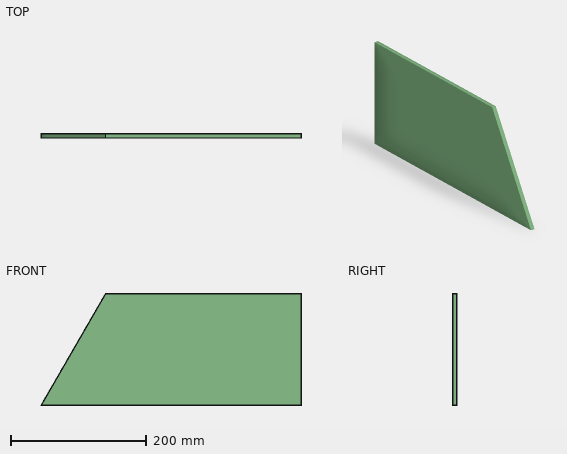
import cadquery as cq
import math

length = 384.5
thickness = 6.5
height = 165.0
slant_angle = 60.0

slant_run = height / math.tan(math.radians(slant_angle))

outline = [
    (0, 0),
    (length, 0),
    (length, height),
    (slant_run, height),
]
result = cq.Workplane("XZ").polyline(outline).close().extrude(thickness)